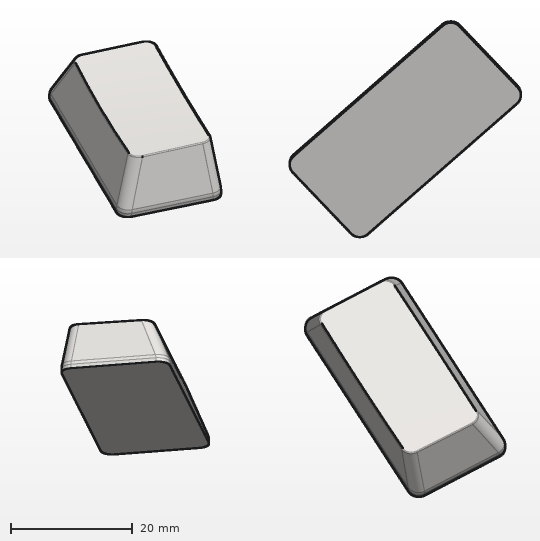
import cadquery as cq
import math

length = 37.2
width = 18.15
height = 9.38

skirt_height = 0.7
bend_top = 1.35
knee_height = (skirt_height + bend_top) / 2

side_inset = 3.57
front_inset = 3.3
back_inset = 0.7
corner_radius = 1.97
top_corner_radius = 1.85

dish_radius = 230.7
dish_tilt = 0.9
dish_half_span = 14.6
rim_radius = 0.22

trim_allowance = 0.75
top_back_y = width / 2 - back_inset


def lean_fraction(level):
    """Share of the wall insets reached at a height: none, then parabolic, then linear."""
    wall_rise = height - knee_height
    if level <= skirt_height:
        return 0
    if level <= bend_top:
        return (level - skirt_height) ** 2 / (2 * (bend_top - skirt_height) * wall_rise)
    return (level - knee_height) / wall_rise


def section(level):
    """Rounded rectangle of the outer surface at a height."""
    lean = lean_fraction(level)
    size_x = length - 2 * side_inset * lean
    size_y = width - (front_inset + back_inset) * lean
    radius = corner_radius + (top_corner_radius - corner_radius) * lean
    center_y = (front_inset - back_inset) * lean / 2
    outline = cq.Sketch().rect(size_x, size_y).vertices().fillet(radius)
    return outline.moved(cq.Location(cq.Vector(0, center_y, level)))


def make_body():
    """Upright skirt, bending band and leaning walls, stacked."""
    skirt = cq.Workplane().placeSketch(section(0)).extrude(skirt_height)
    bend = cq.Workplane().placeSketch(section(skirt_height), section(knee_height), section(bend_top)).loft()
    walls = cq.Workplane().placeSketch(section(bend_top), section(height + trim_allowance)).loft(ruled=True)
    return skirt.union(bend).union(walls)


def make_dish():
    """Large cylinder whose underside is the hollow of the top face."""
    dish_rise = dish_radius - math.sqrt(dish_radius**2 - dish_half_span**2)
    floor_height = height - dish_rise
    dish = (
        cq.Workplane("XZ", origin=(0, top_back_y, floor_height + dish_radius))
        .circle(dish_radius)
        .extrude(2 * width, both=True)
    )
    return dish.rotate((0, top_back_y, floor_height), (1, top_back_y, floor_height), dish_tilt)


body = make_body().cut(make_dish())
top_face = body.faces(cq.selectors.NearestToPointSelector((0, 0, height)))
result = top_face.edges().fillet(rim_radius)